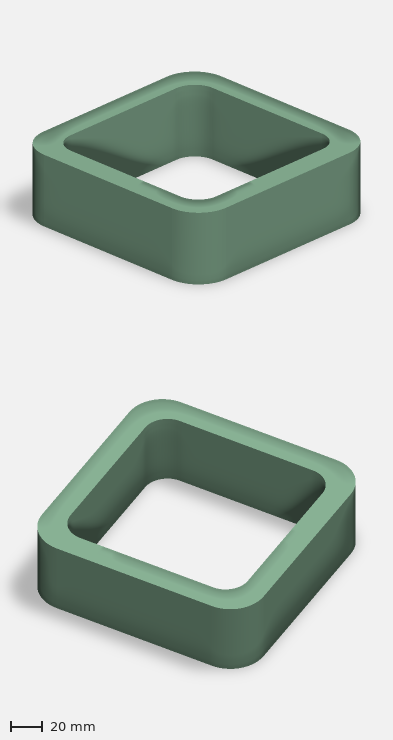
import cadquery as cq

side = 160.0
height = 50.0
wall = 16.0
outer_radius = 24.0
inner_radius = 16.0


def rounded_block(width, corner_radius):
    """Square block centred on Z, standing on Z = 0, with rounded vertical edges."""
    block = cq.Workplane("XY").rect(width, width).extrude(height)
    return block.edges("|Z").fillet(corner_radius)


outer_body = rounded_block(side, outer_radius)
opening = rounded_block(side - 2 * wall, inner_radius)

result = outer_body.cut(opening)